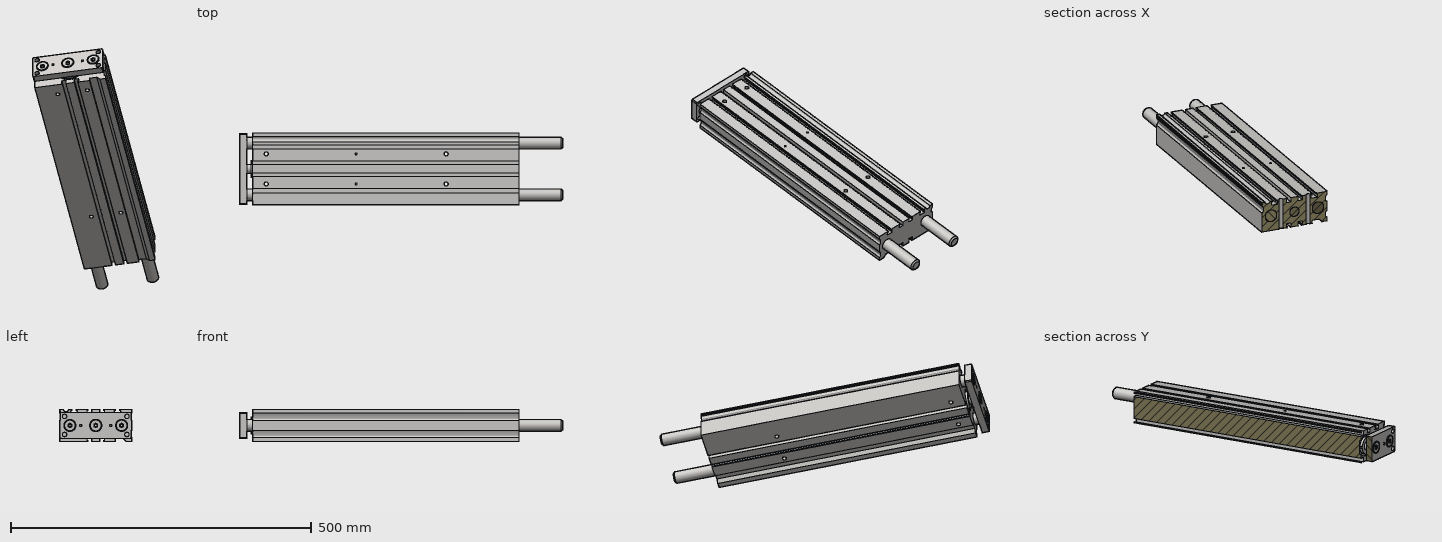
import cadquery as cq
import math


overall_length = 538.0
plate_thickness = 12.0
housing_start = 21.5
housing_length = 444.0

housing_width = 120.0
housing_height = 54.0
half_width = housing_width / 2
half_height = housing_height / 2

slot_depth = 7.5
lip_thickness = 2.0
outer_slot_inner_edge = 33.0
outer_slot_outer_edge = 40.0
outer_slot_undercut = 1.5
inner_slot_inner_edge = 7.0
inner_slot_outer_edge = 13.0
inner_slot_undercut = 1.5

side_groove_low = 8.0
side_groove_floor_low = 12.5
side_groove_floor_high = 15.5
side_groove_high = 20.5
side_groove_depth = 2.5
side_groove_bow = 0.8

round_groove_center = 49.5
round_groove_width = 9.0
round_groove_depth = 4.0

notch_height = 23.5
notch_width = 1.5
notch_depth = 1.0

wide_groove_inner_edge = 33.0
wide_groove_outer_edge = 50.5
wide_groove_depth = 5.5

hole_spacing_y = 50.0
mount_hole_diameter = 6.5
mount_hole_start = 44.0
mount_hole_spacing = 299.5
locating_hole_diameter = 3.0
locating_hole_depth = 5.5

plate_width = 118.5
plate_height = 43.5
plate_chamfer = 1.5
plate_hole_diameter = 7.5
plate_hole_y = 51.9
plate_hole_z = 15.0
pin_hole_diameter = 4.0

guide_rod_diameter = 20.0
guide_rod_spacing = 86.0
guide_rod_chamfer = 2.5

front_end_chamfer = 1.0

piston_rod_diameter = 15.5
piston_head_diameter = 20.5
piston_head_length = plate_thickness / 2
housing_rear_wall = 16.0
collar_diameter = 28.5
collar_protrusion = 2.5
collar_recess_diameter = 36.5
collar_recess_depth = 2.0

socket_across_flats = 6.5
socket_depth = 1.5
socket_drill_diameter = 4.5
socket_drill_point = 1.5

housing_end = housing_start + housing_length
collar_seat = housing_start + collar_recess_depth
piston_rod_end = housing_end - housing_rear_wall
guide_rod_places = [(-guide_rod_spacing / 2, 0), (guide_rod_spacing / 2, 0)]
pin_hole_places = [(-hole_spacing_y / 2, 0), (hole_spacing_y / 2, 0)]


def section(x):
    """Workplane across X, with local x along +Y and local y along +Z."""
    return cq.Workplane("YZ", origin=(x, 0, 0))


def cylinder(x_start, x_end, diameter, places=((0, 0),)):
    """Cylinders along X, one at each (y, z) place."""
    return section(x_start).pushPoints(places).circle(diameter / 2).extrude(x_end - x_start)


def housing_cut(outline):
    """Run a closed section outline along the whole housing."""
    return outline.close().extrude(housing_length)


def channel(y_edges, z_edges):
    """Rectangular bar along the housing between two Y and two Z limits."""
    (y_a, y_b), (z_a, z_b) = y_edges, z_edges
    return housing_cut(section(housing_start).polyline([(y_a, z_a), (y_b, z_a), (y_b, z_b), (y_a, z_b)]))


def t_slot(near, far, near_undercut, far_undercut, side, top):
    """T-slot on the +Y (side = 1) or -Y (-1) half of the top (top = 1) or bottom (-1) face.

    near and far are the distances of the mouth's edges from the centre line; the
    undercuts widen the slot below the lips at these edges.
    """
    floor = top * (half_height - slot_depth)
    lip = top * (half_height - lip_thickness)
    mouth = channel((side * near, side * far), (floor, top * half_height))
    chamber = channel((side * (near - near_undercut), side * (far + far_undercut)), (floor, lip))
    return mouth.union(chamber)


def side_groove(side, top):
    """Flat-floored groove with rounded walls, in the side face given by side and half given by top."""
    face = side * half_width
    floor = side * (half_width - side_groove_depth)
    bow = side * (half_width - side_groove_bow * side_groove_depth)
    low_middle = (side_groove_low + side_groove_floor_low) / 2
    high_middle = (side_groove_high + side_groove_floor_high) / 2
    return housing_cut(
        section(housing_start)
        .moveTo(face, top * side_groove_low)
        .threePointArc((bow, top * low_middle), (floor, top * side_groove_floor_low))
        .lineTo(floor, top * side_groove_floor_high)
        .threePointArc((bow, top * high_middle), (face, top * side_groove_high))
    )


def round_groove():
    half = round_groove_width / 2
    return housing_cut(
        section(housing_start)
        .moveTo(round_groove_center - half, half_height)
        .threePointArc(
            (round_groove_center, half_height - round_groove_depth),
            (round_groove_center + half, half_height),
        )
    )


def marking_notch():
    return housing_cut(
        section(housing_start)
        .moveTo(half_width, notch_height - notch_width / 2)
        .lineTo(half_width - notch_depth, notch_height)
        .lineTo(half_width, notch_height + notch_width / 2)
    )


def wide_groove():
    floor = wide_groove_depth - half_height
    return housing_cut(
        section(housing_start)
        .moveTo(-wide_groove_inner_edge, -half_height)
        .lineTo(-wide_groove_inner_edge, floor)
        .lineTo(-wide_groove_outer_edge + wide_groove_depth, floor)
        .lineTo(-wide_groove_outer_edge, -half_height)
    )


def top_holes(x_places, diameter, depth):
    """Holes down from the top face, a pair across Y at each X place."""
    places = [(x, y) for x in x_places for y, _ in pin_hole_places]
    return (
        cq.Workplane("XY", origin=(0, 0, half_height))
        .pushPoints(places).circle(diameter / 2).extrude(-depth)
    )


def make_housing():
    body = section(housing_start).rect(housing_width, housing_height).extrude(housing_length)
    for side in (-1, 1):
        body = body.cut(t_slot(
            outer_slot_inner_edge, outer_slot_outer_edge, outer_slot_undercut, outer_slot_undercut, side, 1
        ))
        for top in (-1, 1):
            body = body.cut(t_slot(
                inner_slot_inner_edge, inner_slot_outer_edge, 0, inner_slot_undercut, side, top
            ))
    for side, top in ((-1, -1), (-1, 1), (1, 1)):
        body = body.cut(side_groove(side, top))
    body = body.cut(round_groove()).cut(marking_notch()).cut(wide_groove())

    mount_places = (mount_hole_start, mount_hole_start + mount_hole_spacing)
    locating_place = mount_hole_start + mount_hole_spacing / 2
    body = body.cut(top_holes(mount_places, mount_hole_diameter, housing_height))
    body = body.cut(top_holes((locating_place,), locating_hole_diameter, locating_hole_depth))

    body = body.cut(cylinder(housing_start, housing_end, guide_rod_diameter, guide_rod_places))
    body = body.cut(cylinder(housing_start, piston_rod_end, piston_rod_diameter))
    return body.cut(cylinder(housing_start, collar_seat, collar_recess_diameter))


def make_plate():
    plate = section(0).rect(plate_width, plate_height).extrude(plate_thickness)
    plate = plate.edges("|X").chamfer(plate_chamfer)
    corners = [(y, z) for y in (-plate_hole_y, plate_hole_y) for z in (-plate_hole_z, plate_hole_z)]
    plate = plate.cut(cylinder(0, plate_thickness, plate_hole_diameter, corners))
    plate = plate.cut(cylinder(0, plate_thickness, pin_hole_diameter, pin_hole_places))
    plate = plate.cut(cylinder(0, plate_thickness, guide_rod_diameter, guide_rod_places))
    plate = plate.cut(cylinder(0, plate_thickness, piston_rod_diameter))
    return plate.cut(cylinder(0, piston_head_length, piston_head_diameter))


def hex_socket(y):
    """Hexagon socket with a drill point, in the front end of a rod; two corners point along Z."""
    across_corners = socket_across_flats / math.cos(math.pi / 6)
    hexagon = section(0).polygon(6, across_corners).extrude(socket_depth).rotate((0, 0, 0), (1, 0, 0), 90)
    drill_point = cq.Solid.makeCone(
        socket_drill_diameter / 2, 0, socket_drill_point, cq.Vector(socket_depth, 0, 0), cq.Vector(1, 0, 0)
    )
    return hexagon.union(drill_point).translate((0, y, 0))


def make_guide_rod(y):
    rod = cylinder(0, overall_length, guide_rod_diameter, [(y, 0)])
    rod = rod.faces(">X").chamfer(guide_rod_chamfer).faces("<X").chamfer(front_end_chamfer)
    return rod.cut(hex_socket(y))


def make_piston_rod():
    rod = cylinder(0, piston_rod_end, piston_rod_diameter)
    rod = rod.union(cylinder(0, piston_head_length, piston_head_diameter))
    rod = rod.faces("<X").chamfer(front_end_chamfer)
    return rod.cut(hex_socket(0))


def make_collar():
    collar = cylinder(housing_start - collar_protrusion, collar_seat, collar_diameter)
    return collar.cut(cylinder(0, collar_seat, piston_rod_diameter))


housing = make_housing()
plate = make_plate()
guide_rods = [make_guide_rod(y) for y, _ in guide_rod_places]
piston_rod = make_piston_rod()
collar = make_collar()

result = cq.Compound.makeCompound([
    housing.val(),
    plate.val(),
    *[rod.val() for rod in guide_rods],
    piston_rod.val(),
    collar.val(),
])